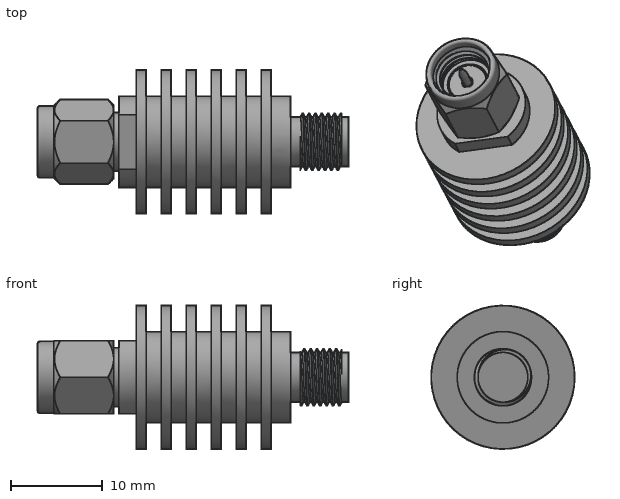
import cadquery as cq
import math


nut_start = 1.8
nut_end = 8.33
body_start = 8.9
body_end = 27.68
overall_length = 34.0

body_radius = 5.0
fin_radius = 7.85
fin_count = 6
fin_start = 10.78
fin_end = 25.55
fin_thickness = 1.1
fin_pitch = (fin_end - fin_start - fin_thickness) / (fin_count - 1)
body_plug_radius = 0.68
body_plug_depth = 0.68
body_plug_x = 26.42

hex_across_flats = 8.02
collar_radius = 3.95
collar_round = 0.35
nut_rear_radius = hex_across_flats / 2
neck_radius = 3.23

bore_radius = 2.75
bore_depth = 3.0
entry_radius = 3.3
entry_depth = 0.95
entry_round = 0.27
ring_gap_depth = 0.17
insulator_radius = 2.1
insulator_gap = 0.15

pin_radius = 0.45
pin_tip_radius = 0.15
pin_tip_x = 0.07
pin_cone_end = 1.22
pin_gap = 0.17

pitches_counted = 6
counted_length = 4.18
thread_pitch = counted_length / pitches_counted
thread_crest_width = 0.07
thread_overlap = 0.07
thread_lead_in = 0.58

jack_radius = 2.72
jack_crest_radius = 3.13
jack_base_width = 0.58
jack_thread_start = 28.7
jack_thread_end = 33.25

nut_groove_radius = 3.2
nut_base_width = 0.65
nut_thread_start = 1.02
nut_thread_end = 2.95


def rod(start, end, radius):
    """Solid cylinder on the X axis."""
    return cq.Workplane("YZ", origin=(start, 0, 0)).circle(radius).extrude(end - start)


def ring(start, end, inner_radius, outer_radius):
    """Tube on the X axis."""
    return rod(start, end, outer_radius).cut(rod(start, end, inner_radius))


def revolve_profile(points):
    """Solid turned about the X axis from (x, radius) points."""
    return cq.Workplane("XY").polyline(points).close().revolve(360, (0, 0, 0), (1, 0, 0))


def thread_ridge(start, end, root_radius, crest_radius, base_width):
    """Helical ridge on the X axis, trimmed square at both ends."""
    helix_length = end - start + 2 * thread_lead_in
    helix = cq.Wire.makeHelix(thread_pitch, helix_length, root_radius)
    base_radius = root_radius - thread_overlap
    half_base = base_width / 2
    half_crest = thread_crest_width / 2
    section = [
        (base_radius, -half_base),
        (crest_radius, -half_crest),
        (crest_radius, half_crest),
        (base_radius, half_base),
    ]
    ridge = cq.Workplane("XZ").polyline(section).close().sweep(cq.Workplane(helix), isFrenet=True)
    ridge = ridge.rotate((0, 0, 0), (0, 1, 0), 90).translate((start - thread_lead_in, 0, 0))
    return ridge.intersect(rod(start, end, 2 * crest_radius), clean=False)


def finned_body():
    front = rod(body_start, fin_start, body_radius)
    wrench_flats = cq.Workplane("XY").box(2 * overall_length, 2 * body_radius, hex_across_flats)
    body = front.intersect(wrench_flats).union(rod(fin_start, body_end, body_radius))
    for index in range(fin_count):
        start = fin_start + index * fin_pitch
        body = body.union(rod(start, start + fin_thickness, fin_radius))
    return body


def hex_nut():
    corner_radius = hex_across_flats / math.sqrt(3)
    prism = (
        cq.Workplane("YZ", origin=(nut_start, 0, 0))
        .polygon(6, 2 * corner_radius)
        .extrude(nut_end - nut_start)
    )
    envelope = revolve_profile([
        (nut_start, 0),
        (nut_start, collar_radius),
        (nut_start + corner_radius - collar_radius, corner_radius),
        (nut_end - corner_radius + nut_rear_radius, corner_radius),
        (nut_end, nut_rear_radius),
        (nut_end, 0),
    ])
    collar = rod(0, nut_start, collar_radius).faces("<X").edges().fillet(collar_round)
    return prism.intersect(envelope).union(collar)


def plug_cavity():
    """Stepped bore with its internal thread and the thin gaps in its floor."""
    cone_end = entry_depth + entry_radius - bore_radius
    entry = (
        cq.Workplane("XY")
        .lineTo(0, entry_radius + entry_round)
        .radiusArc((entry_round, entry_radius), -entry_round)
        .lineTo(entry_depth, entry_radius)
        .lineTo(cone_end, bore_radius)
        .lineTo(cone_end, 0)
        .close()
        .revolve(360, (0, 0, 0), (1, 0, 0))
    )
    thread = thread_ridge(
        nut_thread_start, nut_thread_end, bore_radius, nut_groove_radius, nut_base_width
    )
    gap_end = bore_depth + ring_gap_depth
    insulator_ring = ring(bore_depth, gap_end, insulator_radius, insulator_radius + insulator_gap)
    pin_ring = ring(bore_depth, gap_end, pin_radius, pin_radius + pin_gap)
    bore = rod(0, bore_depth, bore_radius)
    cavity = bore.union(entry).union(thread, clean=False)
    return cavity.union(insulator_ring, clean=False).union(pin_ring, clean=False)


def centre_pin():
    pin_root = bore_depth + ring_gap_depth
    return revolve_profile([
        (pin_tip_x, 0),
        (pin_tip_x, pin_tip_radius),
        (pin_cone_end, pin_radius),
        (pin_root, pin_radius),
        (pin_root, 0),
    ])


def threaded_jack():
    thread = thread_ridge(
        jack_thread_start, jack_thread_end, jack_radius, jack_crest_radius, jack_base_width
    )
    return rod(body_end, overall_length, jack_radius).union(thread, clean=False)


plug = hex_nut().union(rod(nut_end, body_start, neck_radius)).union(finned_body())
bored = plug.cut(plug_cavity(), clean=False).union(centre_pin(), clean=False)
attenuator = bored.union(threaded_jack(), clean=False)

plug_hole = (
    cq.Workplane("XY", origin=(body_plug_x, 0, body_radius - body_plug_depth))
    .circle(body_plug_radius)
    .extrude(2 * body_plug_depth)
)
flush_plug = plug_hole.intersect(rod(fin_start, body_end, body_radius))
result = attenuator.cut(plug_hole, clean=False).union(flush_plug, clean=False)